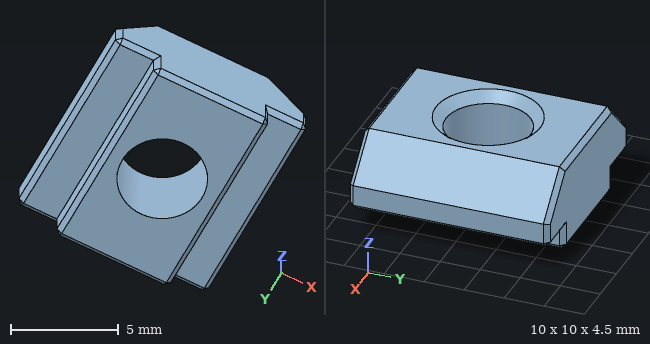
import cadquery as cq

width = 10.0
length = 10.0
height = 4.5

top_width = 6.0
stem_width = 6.0
stem_height = 1.2
slope_run = (width - top_width) / 2
shoulder_height = height - slope_run

edge_chamfer = 0.25
hole_diameter = 4.2
countersink_diameter = 5.2
countersink_angle = 90.0


def make_body():
    """T-shaped profile with sloped upper flanks, extruded along Y."""
    right_half = [
        (stem_width / 2, 0),
        (stem_width / 2, stem_height),
        (width / 2, stem_height),
        (width / 2, shoulder_height),
        (top_width / 2, height),
    ]
    left_half = [(-x, z) for x, z in reversed(right_half)]
    return (
        cq.Workplane("XZ")
        .polyline(right_half + left_half)
        .close()
        .extrude(length / 2, both=True)
    )


def chamfer_edges(body):
    """Break both end outlines and the lower long edges of flanges and stem."""
    ends = body.faces("<Y or >Y").edges()
    flange_edges = body.faces("<X or >X").edges("|Y").edges("<Z")
    stem_edges = body.faces("<Z").edges("|Y")
    return ends.add(flange_edges).add(stem_edges).chamfer(edge_chamfer)


def cut_hole(body):
    """Vertical through hole with a countersink in the top face."""
    return (
        body.faces(">Z")
        .workplane(origin=(0, 0, height))
        .cskHole(hole_diameter, countersink_diameter, countersink_angle)
    )


result = cut_hole(chamfer_edges(make_body()))